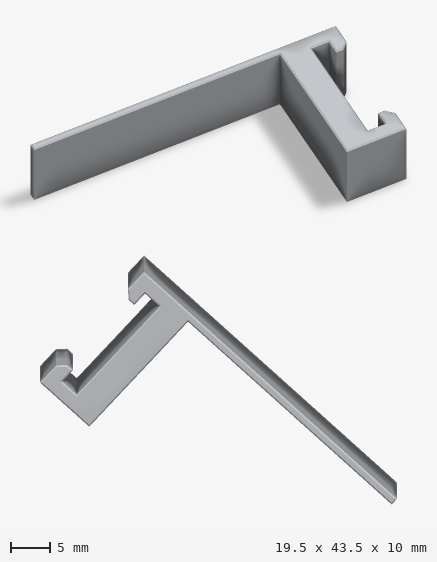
import cadquery as cq

width = 19.5
length = 43.5
height = 10.0

blade_thickness = 1.0
block_depth = 8.5
side_wall = 2.0
floor_depth = 4.5
lip_thickness = 2.0
lip_reach = 4.0
lip_bevel = 1.0
edge_chamfer = 0.2


def profile():
    """Blade with a C-shaped clip, open toward +Y."""
    back = length
    lip_under = back - lip_thickness
    floor = back - floor_depth
    block_front = back - block_depth
    points = [
        (0, 0),
        (blade_thickness, 0),
        (blade_thickness, block_front),
        (width, block_front),
        (width, back),
        (width - lip_reach + lip_bevel, back),
        (width - lip_reach, back - lip_bevel),
        (width - lip_reach, lip_under),
        (width - side_wall, lip_under),
        (width - side_wall, floor),
        (side_wall, floor),
        (side_wall, lip_under),
        (lip_reach, lip_under),
        (lip_reach, back - lip_bevel),
        (lip_reach - lip_bevel, back),
        (0, back),
    ]
    return cq.Workplane("XY").polyline(points).close()


body = profile().extrude(height)
result = body.faces("<Z or >Z").edges().chamfer(edge_chamfer)